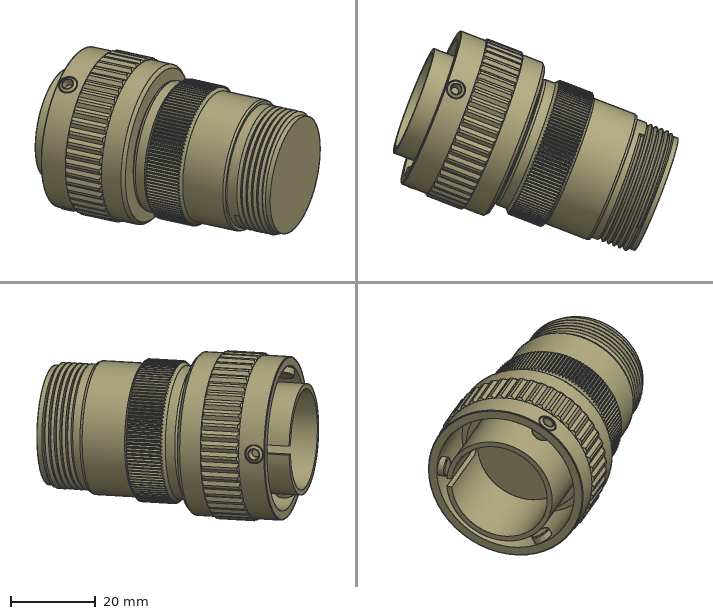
import cadquery as cq
import math

length = 61.65

sleeve_radius = 13.25
sleeve_bore_radius = 12.0
sleeve_bore_depth = 18.5
keyway_width = 2.15
keyway_end = 17.25

ring_front = 4.3
ring_rear = 25.95
ring_radius = 19.4
ring_front_chamfer = 0.2
ring_rear_chamfer = 0.8
ring_bore_radius = 17.25
pocket_shoulder_radius = 14.9
pocket_floor = 22.2

grip_front = 10.65
grip_rear = 20.1
grip_bevel = 0.45
grip_tip_radius = 19.9
grip_root_radius = 19.3
grip_teeth = 48
grip_tip_width = 0.7

pin_count = 3
pin_x = 6.9
pin_diameter = 4.55
pin_outer_radius = 19.6
pin_inner_radius = 15.4
pin_chamfer = 0.25
pin_shoulder_radius = 19.2
pin_head_base_diameter = 4.1
pin_head_top_diameter = 2.85
pin_socket_diameter = 2.6
pin_socket_floor_diameter = 1.85
pin_socket_depth = 1.85

neck_collar_radius = 14.2
neck_collar_rear = 26.3
neck_radius = 13.45

shell_front = 26.7
shell_rear = 50.7
shell_radius = 15.9
shell_chamfer_length = 0.6
shell_chamfer_height = 0.25

knurl_front = 29.65
knurl_front_bevel = 1.05
knurl_rear = 39.65
knurl_rear_bevel = 0.85
knurl_tip_radius = 16.95
knurl_root_radius = 16.6
knurl_teeth = 120
knurl_tip_width = 0.25

thread_radius = 15.0
thread_root_radius = 14.25
thread_pitch = 1.39
thread_groove_width = 1.25
thread_start = 52.65
thread_start_angle = 25.0
thread_turns = 5.25
thread_chamfer_front = 59.75
tail_land_front = 60.4
tail_land_radius = 14.25

overlap = 0.6


def revolve_about_x(points):
    """Turn a closed (x, radius) outline about the X axis."""
    outline = cq.Workplane("XY").polyline(points).close()
    return outline.revolve(360, (0, 0, 0), (1, 0, 0))


def ridged_bar(front, rear, teeth, tip_radius, root_radius, tip_width):
    """Bar along X with flat-topped ridges and a valley on each of the Y and Z axes."""
    pitch_angle = 2 * math.pi / teeth
    tip_half_angle = math.atan2(tip_width / 2, tip_radius)
    corner_radius = math.hypot(tip_radius, tip_width / 2)
    points = []
    for tooth in range(teeth):
        valley = tooth * pitch_angle
        tip = valley + pitch_angle / 2
        for radius, angle in (
            (root_radius, valley),
            (corner_radius, tip - tip_half_angle),
            (corner_radius, tip + tip_half_angle),
        ):
            points.append((radius * math.cos(angle), radius * math.sin(angle)))
    return cq.Workplane("YZ", origin=(front, 0, 0)).polyline(points).close().extrude(rear - front)


def ridged_band(front, rear, front_bevel, rear_bevel, base_radius, bar):
    """Trim a ridged bar to a band whose ends slope down to the base radius."""
    top_radius = max(bar.val().BoundingBox().zmax, base_radius) + overlap / 10
    envelope = revolve_about_x([
        (front, 0),
        (front, base_radius),
        (front + front_bevel, top_radius),
        (rear - rear_bevel, top_radius),
        (rear, base_radius),
        (rear, 0),
    ])
    return bar.intersect(envelope)


def turned_body():
    """Outside of the connector without ridges, thread or mating pocket."""
    chamfered_shell_radius = shell_radius - shell_chamfer_height
    return revolve_about_x([
        (0, 0),
        (0, sleeve_radius),
        (ring_front, sleeve_radius),
        (ring_front, ring_radius - ring_front_chamfer),
        (ring_front + ring_front_chamfer, ring_radius),
        (ring_rear - ring_rear_chamfer, ring_radius),
        (ring_rear, ring_radius - ring_rear_chamfer),
        (ring_rear, neck_collar_radius),
        (neck_collar_rear, neck_collar_radius),
        (neck_collar_rear, neck_radius),
        (shell_front, neck_radius),
        (shell_front, chamfered_shell_radius),
        (shell_front + shell_chamfer_length, shell_radius),
        (shell_rear - shell_chamfer_length, shell_radius),
        (shell_rear, chamfered_shell_radius),
        (shell_rear, thread_radius),
        (length, thread_radius),
        (length, 0),
    ])


def tail_waste():
    """Material around the plain land and its lead-in chamfer at the rear end."""
    waste_radius = thread_radius + overlap
    return revolve_about_x([
        (thread_chamfer_front, thread_radius),
        (thread_chamfer_front, waste_radius),
        (length + overlap, waste_radius),
        (length + overlap, tail_land_radius),
        (tail_land_front, tail_land_radius),
    ])


def mating_pocket():
    """Stepped ring-shaped space between the sleeve and the coupling ring."""
    return revolve_about_x([
        (ring_front - overlap, sleeve_radius),
        (sleeve_bore_depth, sleeve_radius),
        (sleeve_bore_depth, pocket_shoulder_radius),
        (pocket_floor, pocket_shoulder_radius),
        (pocket_floor, ring_bore_radius),
        (ring_front - overlap, ring_bore_radius),
    ])


def sleeve_bore():
    return cq.Workplane("YZ").circle(sleeve_bore_radius).extrude(sleeve_bore_depth)


def keyway():
    """Round-ended slot through the +Y wall of the sleeve, open at the mating end."""
    end_radius = keyway_width / 2
    straight_end = keyway_end - end_radius
    wall_middle = (sleeve_bore_radius + sleeve_radius) / 2
    return (
        cq.Workplane("XZ", origin=(0, wall_middle, 0))
        .moveTo(-overlap, -end_radius)
        .lineTo(straight_end, -end_radius)
        .threePointArc((keyway_end, 0), (straight_end, end_radius))
        .lineTo(-overlap, end_radius)
        .close()
        .extrude(sleeve_radius - sleeve_bore_radius, both=True)
    )


def revolve_about_pin_axis(points):
    """Turn a closed (distance from pin axis, radius from X axis) outline about the +Y pin axis."""
    outline = cq.Workplane("XY", origin=(pin_x, 0, 0)).polyline(points).close()
    return outline.revolve(360, (0, 0, 0), (0, 1, 0))


def bayonet_pin():
    """Pin along +Y, with a conical head standing on a flat shoulder."""
    half = pin_diameter / 2
    return revolve_about_pin_axis([
        (0, pin_inner_radius),
        (half - pin_chamfer, pin_inner_radius),
        (half, pin_inner_radius + pin_chamfer),
        (half, pin_shoulder_radius),
        (pin_head_base_diameter / 2, pin_shoulder_radius),
        (pin_head_top_diameter / 2, pin_outer_radius),
        (0, pin_outer_radius),
    ])


def pin_seat():
    """Clearance in the coupling ring above the pin shoulder."""
    return revolve_about_pin_axis([
        (0, pin_shoulder_radius),
        (pin_diameter / 2, pin_shoulder_radius),
        (pin_diameter / 2, pin_outer_radius + overlap),
        (0, pin_outer_radius + overlap),
    ])


def pin_socket():
    """Tapered blind hole in the head of the pin."""
    floor_radius = pin_outer_radius - pin_socket_depth
    return revolve_about_pin_axis([
        (0, floor_radius),
        (pin_socket_floor_diameter / 2, floor_radius),
        (pin_socket_diameter / 2, pin_outer_radius),
        (0, pin_outer_radius),
    ])


def thread_groove():
    """Right-handed V groove that starts abruptly on the -Y side, just below the middle."""
    depth = thread_radius - thread_root_radius
    clearance = 0.05
    half_width = thread_groove_width / 2 * (1 + clearance / depth)
    outer_radius = thread_radius + clearance
    path = cq.Wire.makeHelix(thread_pitch, thread_turns * thread_pitch, thread_root_radius)
    groove = (
        cq.Workplane("XZ")
        .polyline([
            (thread_root_radius, 0),
            (outer_radius, half_width),
            (outer_radius, -half_width),
        ])
        .close()
        .sweep(cq.Workplane(obj=path), isFrenet=True)
    )
    along_x = groove.rotate((0, 0, 0), (0, 1, 0), 90)
    turn = thread_start_angle - 90
    return along_x.rotate((0, 0, 0), (1, 0, 0), turn).translate((thread_start, 0, 0))


body = turned_body().cut(thread_groove()).cut(tail_waste())

grip_seat = (
    cq.Workplane("YZ", origin=(grip_front, 0, 0))
    .circle(ring_radius + overlap)
    .circle(grip_root_radius - overlap)
    .extrude(grip_rear - grip_front)
)
grip_bar = ridged_bar(grip_front, grip_rear, grip_teeth, grip_tip_radius, grip_root_radius, grip_tip_width)
grip = ridged_band(grip_front, grip_rear, grip_bevel, grip_bevel, ring_radius, grip_bar)
body = body.cut(grip_seat).union(grip)

knurl_bar = ridged_bar(
    knurl_front, knurl_rear, knurl_teeth, knurl_tip_radius, knurl_root_radius, knurl_tip_width
)
knurl = ridged_band(
    knurl_front, knurl_rear, knurl_front_bevel, knurl_rear_bevel, shell_radius, knurl_bar
)
body = body.union(knurl)

body = body.cut(mating_pocket()).cut(sleeve_bore()).cut(keyway())

for index in range(pin_count):
    angle = index * 360 / pin_count
    body = body.cut(pin_seat().rotate((0, 0, 0), (1, 0, 0), angle))
    body = body.union(bayonet_pin().rotate((0, 0, 0), (1, 0, 0), angle))
    body = body.cut(pin_socket().rotate((0, 0, 0), (1, 0, 0), angle))

result = body